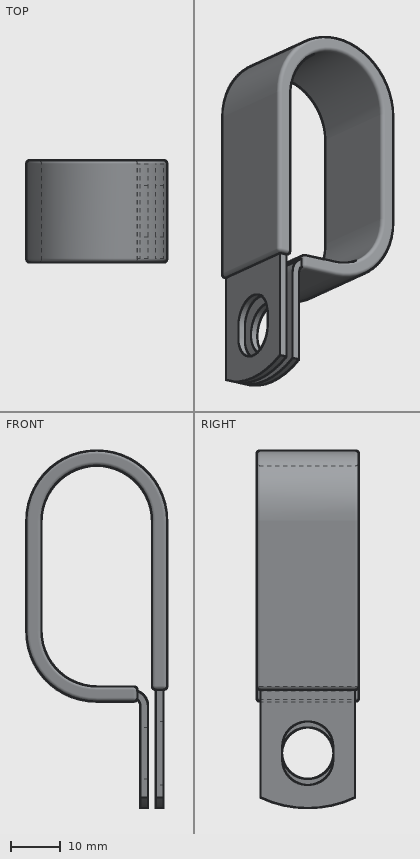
import cadquery as cq
import math

loop_width = 28.448
bend_spacing = 22.225
overall_height = 72.14

edge_round = 0.762
strap_thickness = 1.5875
cushion_thickness = strap_thickness + 2 * edge_round
cushion_width = 20.64
strap_width = cushion_width - 2 * edge_round
cushion_foot_end_x = 8.2
cushion_leg_end_z = -34.05

tab_gap = 1.524
tab_bend_inner_radius = strap_thickness
hole_diameter = 10.32
slot_height = 12.8
hole_height = 11.1
tip_rise = 2.15

outer_radius = loop_width / 2
center_radius = outer_radius - cushion_thickness / 2
lower_bend_z = -bend_spacing
tab_tip_z = outer_radius - overall_height
hole_z = tab_tip_z + hole_height
tab_center_x = center_radius - strap_thickness - tab_gap
tab_bend_radius = tab_bend_inner_radius + strap_thickness / 2
foot_bend_x = tab_center_x - tab_bend_radius
foot_bend_z = lower_bend_z - center_radius - tab_bend_radius
half_strap_width = strap_width / 2


def loop_band(thickness, leg_end_z, foot_end_x, width):
    """Band along the loop, from the straight leg over the top to the bottom run."""
    outer = center_radius + thickness / 2
    inner = center_radius - thickness / 2
    diagonal = math.sqrt(0.5)
    return (
        cq.Workplane("XZ")
        .moveTo(outer, leg_end_z)
        .lineTo(outer, 0)
        .threePointArc((0, outer), (-outer, 0))
        .lineTo(-outer, lower_bend_z)
        .threePointArc((-outer * diagonal, lower_bend_z - outer * diagonal), (0, lower_bend_z - outer))
        .lineTo(foot_end_x, lower_bend_z - outer)
        .lineTo(foot_end_x, lower_bend_z - inner)
        .lineTo(0, lower_bend_z - inner)
        .threePointArc((-inner * diagonal, lower_bend_z - inner * diagonal), (-inner, lower_bend_z))
        .lineTo(-inner, 0)
        .threePointArc((0, inner), (inner, 0))
        .lineTo(inner, leg_end_z)
        .close()
        .extrude(width / 2, both=True)
    )


def make_cushion():
    """Rubber cushion with every outer edge rounded."""
    band = loop_band(cushion_thickness, cushion_leg_end_z, cushion_foot_end_x, cushion_width)
    half_thickness = cushion_thickness / 2
    for side in (-1, 1):
        leg_corner = (center_radius + side * half_thickness, 0, cushion_leg_end_z)
        foot_corner = (cushion_foot_end_x, 0, lower_bend_z - center_radius + side * half_thickness)
        for corner in (leg_corner, foot_corner):
            band = band.edges(cq.selectors.NearestToPointSelector(corner)).fillet(edge_round)
    return band.faces("<Y or >Y").edges().fillet(edge_round)


def make_foot_bend():
    """Quarter bend turning the bottom run of the strap down into its tab."""
    outer = tab_bend_radius + strap_thickness / 2
    ring = (
        cq.Workplane("XZ", origin=(foot_bend_x, 0, foot_bend_z))
        .circle(outer)
        .circle(tab_bend_inner_radius)
        .extrude(half_strap_width, both=True)
    )
    quadrant = (
        cq.Workplane("XZ", origin=(foot_bend_x, 0, foot_bend_z))
        .rect(outer, outer, centered=False)
        .extrude(half_strap_width, both=True)
    )
    return ring.intersect(quadrant)


def make_tab(center_x, top_z, opening_height):
    """Flat tab with a rounded tip and a bolt opening, round or stretched into an upright slot."""
    shoulder_z = tab_tip_z + tip_rise
    start_x = center_x - strap_thickness / 2
    tab = (
        cq.Workplane("YZ", origin=(start_x, 0, 0))
        .moveTo(-half_strap_width, top_z)
        .lineTo(-half_strap_width, shoulder_z)
        .threePointArc((0, tab_tip_z), (half_strap_width, shoulder_z))
        .lineTo(half_strap_width, top_z)
        .close()
        .extrude(strap_thickness)
    )
    opening_plane = cq.Workplane("YZ", origin=(start_x, 0, hole_z))
    if opening_height > hole_diameter:
        opening = opening_plane.slot2D(opening_height, hole_diameter, 90)
    else:
        opening = opening_plane.circle(hole_diameter / 2)
    return tab.cut(opening.extrude(strap_thickness))


def make_strap():
    """Metal strap: loop, bend and the two facing tabs."""
    loop = loop_band(strap_thickness, cushion_leg_end_z, foot_bend_x, strap_width)
    return (
        loop.union(make_foot_bend())
        .union(make_tab(tab_center_x, foot_bend_z, hole_diameter))
        .union(make_tab(center_radius, cushion_leg_end_z, slot_height))
    )


result = make_cushion().union(make_strap())